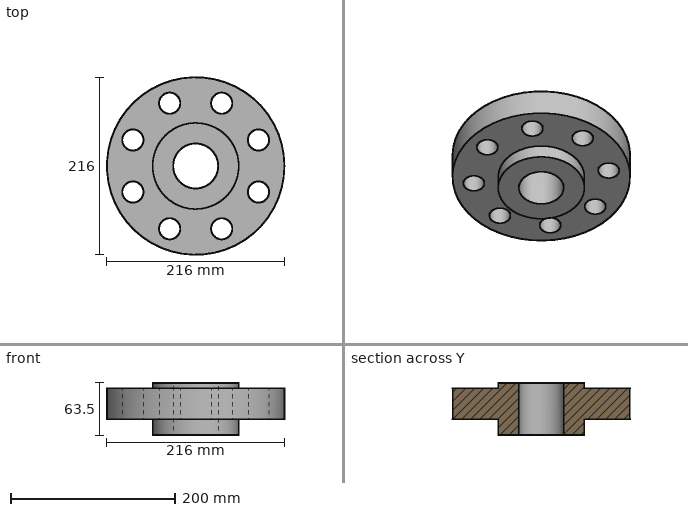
import cadquery as cq

flange_diameter = 216.0
flange_thickness = 38.2

boss_diameter = 104.7
raised_face_height = 6.3
hub_height = 19.0

bore_diameter = 54.5

bolt_count = 8
bolt_hole_diameter = 25.5
bolt_circle_diameter = 165.2
first_bolt_angle = 180.0 / bolt_count

total_height = hub_height + flange_thickness + raised_face_height


def cylinder(diameter, bottom, height):
    """Upright cylinder on the Z axis."""
    return cq.Workplane("XY").workplane(offset=bottom).circle(diameter / 2).extrude(height)


def bolt_holes():
    """Ring of cylinders that pass through the flange disc."""
    return (
        cq.Workplane("XY")
        .workplane(offset=hub_height)
        .polarArray(bolt_circle_diameter / 2, first_bolt_angle, 360, bolt_count)
        .circle(bolt_hole_diameter / 2)
        .extrude(flange_thickness)
    )


flange = cylinder(flange_diameter, hub_height, flange_thickness)
boss = cylinder(boss_diameter, 0, total_height)
bore = cylinder(bore_diameter, 0, total_height)

result = flange.union(boss).cut(bore).cut(bolt_holes())